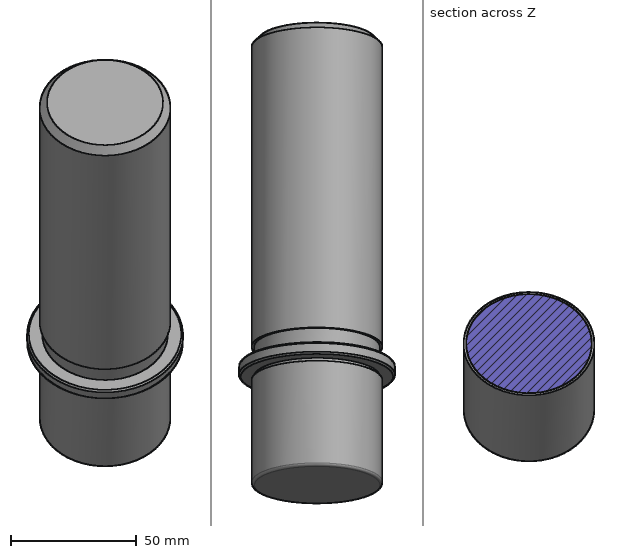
import cadquery as cq

total_height = 185.0
pin_diameter = 52.0
collar_diameter = 62.0

collar_bottom = 45.0
collar_thickness = 5.0
neck_top = 57.4
relief_height = 1.5

neck_diameter = 50.0
relief_diameter = 50.0
tip_chamfer_width = 3.0
tip_chamfer_height = 3.0
base_fillet = 1.1
collar_chamfer = 0.7


def cylinder(diameter, bottom, top):
    """Solid cylinder on the Z axis between two levels."""
    return cq.Workplane("XY").workplane(offset=bottom).circle(diameter / 2).extrude(top - bottom)


collar_top = collar_bottom + collar_thickness
relief_bottom = collar_bottom - relief_height

shank = cylinder(pin_diameter, 0, relief_bottom).faces("<Z").edges().fillet(base_fillet)

relief = cylinder(relief_diameter, relief_bottom, collar_bottom)

collar = cylinder(collar_diameter, collar_bottom, collar_top).edges().chamfer(collar_chamfer)

neck = cylinder(neck_diameter, collar_top, neck_top)

guide = cylinder(pin_diameter, neck_top, total_height)
guide = guide.faces(">Z").edges().chamfer(tip_chamfer_height, tip_chamfer_width)

result = shank.union(relief).union(collar).union(neck).union(guide)